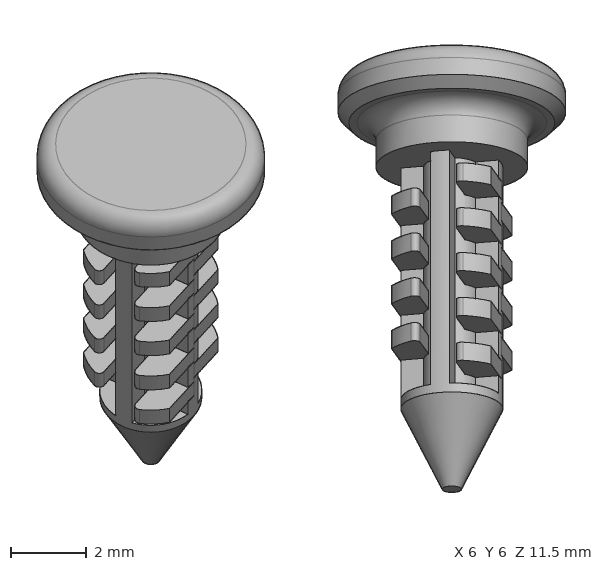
import cadquery as cq
import math

total_height = 11.5
head_bottom = 10.25
collar_bottom = 9.0
flute_bottom = 2.5
cone_top = 2.24

head_radius = 3.0
collar_radius = 2.0
shank_radius = 1.35
core_radius = 0.75
tip_radius = 0.25

crown_fillet = 0.5
rim_chamfer = 0.29
neck_fillet = 0.5

rib_thickness = 0.51

cut_clearance = 0.23

barb_thickness = 0.51
barb_pitch = 1.25
barb_inner_x = 0.5
barb_tip_radius = 1.79
barb_corner_fillet = 0.15
upper_barb_count = 5
lower_barb_count = upper_barb_count - 1
barb_stagger = 0.6
upper_barb_top = 8.5
lower_barb_top = upper_barb_top - barb_stagger


def make_head():
    """Mushroom head with a rounded crown and chamfered rim, blended into the collar below it."""
    profile = (
        cq.Workplane("XZ")
        .moveTo(0, collar_bottom)
        .lineTo(collar_radius, collar_bottom)
        .lineTo(collar_radius, head_bottom - neck_fillet)
        .radiusArc((collar_radius + neck_fillet, head_bottom), neck_fillet)
        .lineTo(head_radius - rim_chamfer, head_bottom)
        .lineTo(head_radius, head_bottom + rim_chamfer)
        .lineTo(head_radius, total_height - crown_fillet)
        .radiusArc((head_radius - crown_fillet, total_height), -crown_fillet)
        .lineTo(0, total_height)
        .close()
    )
    return profile.revolve(360, (0, 0), (0, 1))


def make_pin():
    """Plain round shank running down into a blunt conical tip."""
    profile = (
        cq.Workplane("XZ")
        .lineTo(tip_radius, 0)
        .lineTo(shank_radius, cone_top)
        .lineTo(shank_radius, collar_bottom)
        .lineTo(0, collar_bottom)
        .close()
    )
    return profile.revolve(360, (0, 0), (0, 1))


def make_flutes():
    """Material cut from the shank to leave a round core carrying four ribs."""
    length = collar_bottom - flute_bottom
    base = cq.Workplane("XY").workplane(offset=flute_bottom)
    cut_radius = shank_radius + cut_clearance
    rib_span = 2 * cut_radius
    return (
        base.circle(cut_radius).circle(core_radius).extrude(length)
        .cut(base.rect(rib_span, rib_thickness).extrude(length))
        .cut(base.rect(rib_thickness, rib_span).extrude(length))
    )


def make_barb(x_side, y_side, top):
    """One barb in the flute given by the signs of x and y."""
    outer_y = math.sqrt(barb_tip_radius**2 - shank_radius**2)
    inner_y = math.sqrt(barb_tip_radius**2 - barb_inner_x**2)
    arc_middle = barb_tip_radius * math.cos(math.radians(45))
    barb = (
        cq.Workplane("XY")
        .workplane(offset=top - barb_thickness)
        .moveTo(barb_inner_x, 0)
        .lineTo(shank_radius, 0)
        .lineTo(shank_radius, outer_y)
        .threePointArc((arc_middle, arc_middle), (barb_inner_x, inner_y))
        .close()
        .extrude(barb_thickness)
        .edges("|Z and >Y")
        .fillet(barb_corner_fillet)
    )
    if x_side < 0:
        barb = barb.mirror("YZ")
    if y_side < 0:
        barb = barb.mirror("XZ")
    return barb


result = make_pin().cut(make_flutes()).union(make_head())

for side in (1, -1):
    for i in range(upper_barb_count):
        result = result.union(make_barb(side, -side, upper_barb_top - i * barb_pitch))
    for i in range(lower_barb_count):
        result = result.union(make_barb(side, side, lower_barb_top - i * barb_pitch))